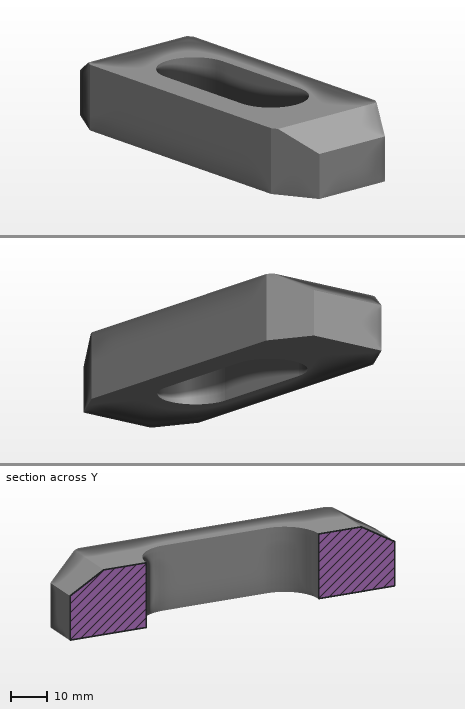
import cadquery as cq
import math

LENGTH = 100.0
WIDTH = 38.0
HEIGHT = 19.0

NOSE_WIDTH = 24.0
NOSE_HEIGHT = 13.0
TAPER_ANGLE = 30.0

SLOT_LENGTH = 53.0
SLOT_WIDTH = 21.0

taper_slope = math.tan(math.radians(TAPER_ANGLE))
side_taper_length = (WIDTH - NOSE_WIDTH) / 2 / taper_slope
top_taper_length = (HEIGHT - NOSE_HEIGHT) / taper_slope


def plan_body():
    """Bar standing on Z = 0, narrowed towards both ends as seen from above."""
    half_length = LENGTH / 2
    half_width = WIDTH / 2
    half_nose = NOSE_WIDTH / 2
    shoulder_x = half_length - side_taper_length
    return (
        cq.Workplane("XY")
        .moveTo(-half_length, -half_nose)
        .lineTo(-shoulder_x, -half_width)
        .lineTo(shoulder_x, -half_width)
        .lineTo(half_length, -half_nose)
        .lineTo(half_length, half_nose)
        .lineTo(shoulder_x, half_width)
        .lineTo(-shoulder_x, half_width)
        .lineTo(-half_length, half_nose)
        .close()
        .extrude(HEIGHT)
    )


def side_profile():
    """Side silhouette with the top sloping down to both ends, across the full width."""
    half_length = LENGTH / 2
    crest_x = half_length - top_taper_length
    return (
        cq.Workplane("XZ")
        .moveTo(-half_length, 0)
        .lineTo(half_length, 0)
        .lineTo(half_length, NOSE_HEIGHT)
        .lineTo(crest_x, HEIGHT)
        .lineTo(-crest_x, HEIGHT)
        .lineTo(-half_length, NOSE_HEIGHT)
        .close()
        .extrude(WIDTH / 2, both=True)
    )


def stud_slot():
    """Round-ended slot through the full height."""
    return cq.Workplane("XY").slot2D(SLOT_LENGTH, SLOT_WIDTH).extrude(HEIGHT)


result = plan_body().intersect(side_profile()).cut(stud_slot())